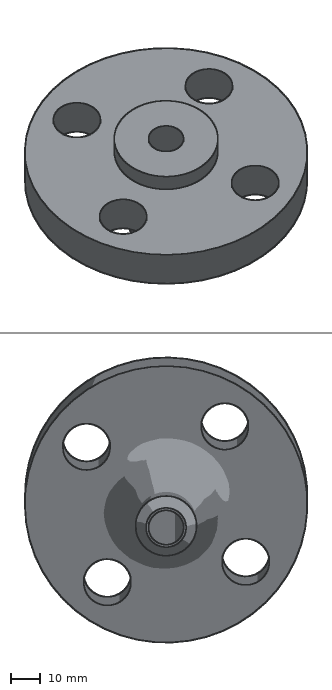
import cadquery as cq
import math

flange_diameter = 95.25
total_height = 58.8

flange_thickness = 14.4
face_diameter = 35.0
face_height = 6.3

bolt_count = 4
bolt_hole_diameter = 15.9
bolt_circle_diameter = 66.7
bore_diameter = 11.8

hub_diameter = 38.3
hub_fillet_radius = 6.4
pipe_diameter = 20.6
pipe_length = 6.7
bevel_height = 2.8
bevel_end_diameter = 13.5

taper_bottom = bevel_height + pipe_length
flange_top = total_height - face_height
flange_bottom = flange_top - flange_thickness

taper_angle = math.atan2((hub_diameter - pipe_diameter) / 2, flange_bottom - taper_bottom)
mid_angle = (taper_angle + math.pi / 2) / 2
fillet_reach = hub_fillet_radius * math.tan((math.pi / 2 - taper_angle) / 2)
fillet_center_x = hub_diameter / 2 + fillet_reach
fillet_center_z = flange_bottom - hub_fillet_radius


def fillet_point(angle):
    """Profile point on the hub fillet; the angle rises from the inward direction."""
    return (
        fillet_center_x - hub_fillet_radius * math.cos(angle),
        fillet_center_z + hub_fillet_radius * math.sin(angle),
    )


def turned_body():
    """Solid of revolution about Z, with the hub blended into the flange."""
    return (
        cq.Workplane("XZ")
        .lineTo(bevel_end_diameter / 2, 0)
        .lineTo(pipe_diameter / 2, bevel_height)
        .lineTo(pipe_diameter / 2, taper_bottom)
        .lineTo(*fillet_point(taper_angle))
        .threePointArc(fillet_point(mid_angle), fillet_point(math.pi / 2))
        .lineTo(flange_diameter / 2, flange_bottom)
        .lineTo(flange_diameter / 2, flange_top)
        .lineTo(face_diameter / 2, flange_top)
        .lineTo(face_diameter / 2, total_height)
        .lineTo(0, total_height)
        .close()
        .revolve(360, (0, 0), (0, 1))
    )


def bore():
    return cq.Workplane("XY").circle(bore_diameter / 2).extrude(total_height)


def bolt_holes():
    """Through holes evenly spaced on the bolt circle, the first on +X."""
    return (
        cq.Workplane("XY")
        .workplane(offset=flange_bottom)
        .polarArray(bolt_circle_diameter / 2, 0, 360, bolt_count)
        .circle(bolt_hole_diameter / 2)
        .extrude(flange_thickness)
    )


result = turned_body().cut(bore()).cut(bolt_holes())